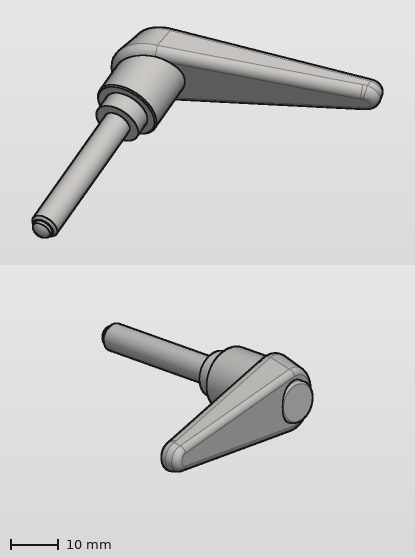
import cadquery as cq
import math


hub_radius = 7.0
hub_edge_chamfer = 0.3
hub_overlap = 14.0
boss_radius = 4.6
boss_top = 20.7
boss_edge_fillet = 0.5

arm_draft = 12.0
prism_height = 36.0
head_base_radius = 10.8
nose_base_radius = 9.14
nose_center_x = 41.84
back_slope = 15.0
back_height = 19.5
front_slope = 20.0
front_height = 10.05
back_fillet = 1.5
front_fillet = 2.0

collar_radius = 5.0
collar_length = 4.0
stud_radius = 3.0
stud_length = 32.0
stud_chamfer = 0.6
tip_radius = 2.1
tip_cylinder_length = 0.8
tip_dome_height = 1.0


def teardrop_prism():
    """Two tangent-joined arcs in a plane across Y, extruded along +Y with draft."""
    lean = math.asin((head_base_radius - nose_base_radius) / nose_center_x)
    sine, cosine = math.sin(lean), math.cos(lean)
    head_x, head_y = head_base_radius * sine, head_base_radius * cosine
    nose_x, nose_y = nose_center_x + nose_base_radius * sine, nose_base_radius * cosine
    plane = cq.Plane(origin=(0, 0, 0), xDir=(1, 0, 0), normal=(0, 1, 0))
    return (
        cq.Workplane(plane)
        .moveTo(head_x, head_y)
        .threePointArc((-head_base_radius, 0), (head_x, -head_y))
        .lineTo(nose_x, -nose_y)
        .threePointArc((nose_center_x + nose_base_radius, 0), (nose_x, nose_y))
        .close()
        .extrude(prism_height, taper=arm_draft)
    )


def sloping_wedge():
    """Space between the front and back planes, longer and wider than the arm."""
    left, right = -2 * head_base_radius, nose_center_x + 2 * nose_base_radius
    back_rise = math.tan(math.radians(back_slope))
    front_rise = math.tan(math.radians(front_slope))
    return (
        cq.Workplane("XY")
        .moveTo(left, front_height + left * front_rise)
        .lineTo(right, front_height + right * front_rise)
        .lineTo(right, back_height + right * back_rise)
        .lineTo(left, back_height + left * back_rise)
        .close()
        .extrude(2 * head_base_radius, both=True)
    )


def make_lever():
    arm = teardrop_prism().intersect(sloping_wedge())
    back_angle = math.radians(back_slope)
    front_angle = math.radians(front_slope)
    back_normal = cq.Vector(-math.sin(back_angle), math.cos(back_angle), 0)
    front_normal = cq.Vector(math.sin(front_angle), -math.cos(front_angle), 0)
    arm = arm.faces(cq.selectors.DirectionSelector(back_normal)).edges().fillet(back_fillet)
    arm = arm.faces(cq.selectors.DirectionSelector(front_normal)).edges().fillet(front_fillet)
    hub = (
        cq.Workplane("XZ").circle(hub_radius).extrude(-hub_overlap)
        .faces("<Y").edges().chamfer(hub_edge_chamfer)
    )
    boss = (
        cq.Workplane("XZ", origin=(0, hub_overlap, 0))
        .circle(boss_radius).extrude(hub_overlap - boss_top)
        .faces(">Y").edges().fillet(boss_edge_fillet)
    )
    return arm.union(hub).union(boss)


def make_stud():
    collar_end = -collar_length
    stud_end = collar_end - stud_length
    dome_start = stud_end - tip_cylinder_length
    dome_end = dome_start - tip_dome_height
    dome_radius = (tip_radius**2 + tip_dome_height**2) / (2 * tip_dome_height)
    half_angle = math.asin(tip_radius / dome_radius) / 2
    dome_middle = (
        dome_radius * math.sin(half_angle),
        dome_end + dome_radius * (1 - math.cos(half_angle)),
    )
    return (
        cq.Workplane("XY")
        .moveTo(0, 0)
        .lineTo(collar_radius, 0)
        .lineTo(collar_radius, collar_end)
        .lineTo(stud_radius, collar_end)
        .lineTo(stud_radius, stud_end + stud_chamfer)
        .lineTo(stud_radius - stud_chamfer, stud_end)
        .lineTo(tip_radius, stud_end)
        .lineTo(tip_radius, dome_start)
        .threePointArc(dome_middle, (0, dome_end))
        .close()
        .revolve(360, (0, 0, 0), (0, 1, 0))
    )


lever = make_lever()
stud = make_stud()
result = cq.Compound.makeCompound([lever.val(), stud.val()])